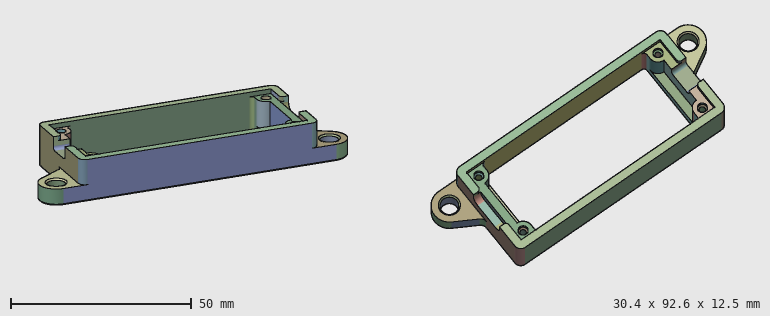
import cadquery as cq
import math

width = 30.4
overall_length = 92.6
height = 12.5
wall = 2.5
corner_radius = 2.0
bottom_chamfer = 0.5

ear_radius = 5.1
ear_height = 5.0
ear_slope = math.radians(60)
ear_root_fillet = 2.0
ear_hole_diameter = 5.2
ear_hole_chamfer = 0.5
ear_x = width / 2 - ear_radius
ear_y = overall_length / 2 - ear_radius

frame_length = 71.9
frame_end = frame_length / 2

cavity_width = width - 2 * wall
cavity_end = frame_end - wall
shelf_depth = 2.5
shelf_end = cavity_end - shelf_depth
shelf_top = height - 1.4
rail_height = 3.0

post_radius = 2.8
post_edge_inset = 4.9
post_x = width / 2 - post_edge_inset
post_y = shelf_end
post_root_fillet = 1.0
screw_hole_diameter = 1.8
screw_bore_diameter = 2.8
screw_bore_depth = 1.0
opening_end = post_y - post_radius

front_notch_width = 8.1
front_notch_depth = 3.9
front_notch_radius = 1.0
back_notch_width = 12.0
back_notch_depth = 3.9
back_notch_radius = 2.0
notch_lip_radius = 1.0


def block(x_size, y_start, y_end, z_start, z_end):
    """Box centred on X between the given Y and Z limits."""
    return (
        cq.Workplane("XY")
        .box(x_size, y_end - y_start, z_end - z_start, centered=(True, False, False))
        .translate((0, y_start, z_start))
    )


def make_ear():
    """Ear on the +Y end: round tip, straight +X side, sloped side with a filleted root."""
    tangent_x = ear_x - ear_radius * math.sin(ear_slope)
    tangent_y = ear_y + ear_radius * math.cos(ear_slope)
    root_x = tangent_x - (tangent_y - frame_end) / math.tan(ear_slope)
    setback = ear_root_fillet * math.tan(ear_slope / 2)
    start_x = root_x - setback
    end_x = root_x + setback * math.cos(ear_slope)
    end_y = frame_end + setback * math.sin(ear_slope)
    mid_x = start_x + ear_root_fillet * math.sin(ear_slope / 2)
    mid_y = frame_end + ear_root_fillet * (1 - math.cos(ear_slope / 2))
    return (
        cq.Workplane("XY")
        .moveTo(start_x, frame_end)
        .threePointArc((mid_x, mid_y), (end_x, end_y))
        .lineTo(tangent_x, tangent_y)
        .threePointArc((ear_x, ear_y + ear_radius), (width / 2, ear_y))
        .lineTo(width / 2, cavity_end)
        .lineTo(start_x, cavity_end)
        .close()
        .extrude(ear_height)
    )


def make_body():
    """Solid frame block with both ears and a chamfer around the bottom outline."""
    frame = block(width, -frame_end, frame_end, 0, height).edges("|Z").fillet(corner_radius)
    ear = make_ear()
    body = frame.union(ear).union(ear.mirror("XZ")).clean()
    return body.faces("<Z").chamfer(bottom_chamfer)


def make_cavity():
    """Everything to remove inside the walls, leaving shelves, posts and rails."""
    recess = block(cavity_width, -cavity_end, cavity_end, shelf_top, height)
    opening = block(cavity_width, -opening_end, opening_end, 0, shelf_top)
    opening = opening.edges("|Z").fillet(post_root_fillet)
    posts = (
        cq.Workplane("XY")
        .rect(2 * post_x, 2 * post_y, forConstruction=True)
        .vertices()
        .circle(post_radius)
        .extrude(shelf_top)
    )
    bay = block(2 * post_x, -shelf_end, shelf_end, rail_height, shelf_top).cut(posts)
    return recess.union(opening).union(bay)


def make_notch(notch_width, depth, radius, side, inner_end):
    """Cable notch through one end wall, with rounded bottom corners and rounded inner lips."""
    floor = height - depth
    y_limits = sorted((side * inner_end, side * frame_end))
    notch = block(notch_width, *y_limits, floor, height)
    notch = notch.edges("|Y and <Z").fillet(radius)
    lip = notch_lip_radius
    for side_x in (-1, 1):
        edge_x = side_x * notch_width / 2
        lip_cut = (
            cq.Workplane("XY")
            .workplane(offset=shelf_top)
            .moveTo(edge_x, side * cavity_end)
            .lineTo(edge_x + side_x * lip, side * cavity_end)
            .radiusArc((edge_x, side * (cavity_end + lip)), side * side_x * lip)
            .close()
            .extrude(height - shelf_top)
        )
        notch = notch.union(lip_cut)
    return notch


def make_screw_holes():
    """Through hole down each screw post, with a wider bore on top that ends in a cone."""
    posts = (
        cq.Workplane("XY")
        .workplane(offset=shelf_top)
        .rect(2 * post_x, 2 * post_y, forConstruction=True)
        .vertices()
    )
    cone_depth = (screw_bore_diameter - screw_hole_diameter) / 2
    through = posts.circle(screw_hole_diameter / 2).extrude(-shelf_top)
    bore = posts.circle(screw_bore_diameter / 2).extrude(-screw_bore_depth)
    cone = posts.circle(screw_bore_diameter / 2).extrude(-cone_depth, taper=45)
    return through.union(bore).union(cone.translate((0, 0, -screw_bore_depth)))


def make_ear_holes():
    """Through hole in each ear, chamfered at the top."""
    centers = [(ear_x, ear_y), (ear_x, -ear_y)]
    radius = ear_hole_diameter / 2
    shafts = cq.Workplane("XY").pushPoints(centers).circle(radius).extrude(ear_height)
    mouths = (
        cq.Workplane("XY")
        .workplane(offset=ear_height)
        .pushPoints(centers)
        .circle(radius + ear_hole_chamfer)
        .extrude(-ear_hole_chamfer, taper=45)
    )
    return shafts.union(mouths)


result = make_body().cut(make_cavity())
result = result.cut(make_notch(front_notch_width, front_notch_depth, front_notch_radius, -1, shelf_end))
result = result.cut(make_notch(back_notch_width, back_notch_depth, back_notch_radius, 1, cavity_end))
result = result.cut(make_screw_holes())
result = result.cut(make_ear_holes())